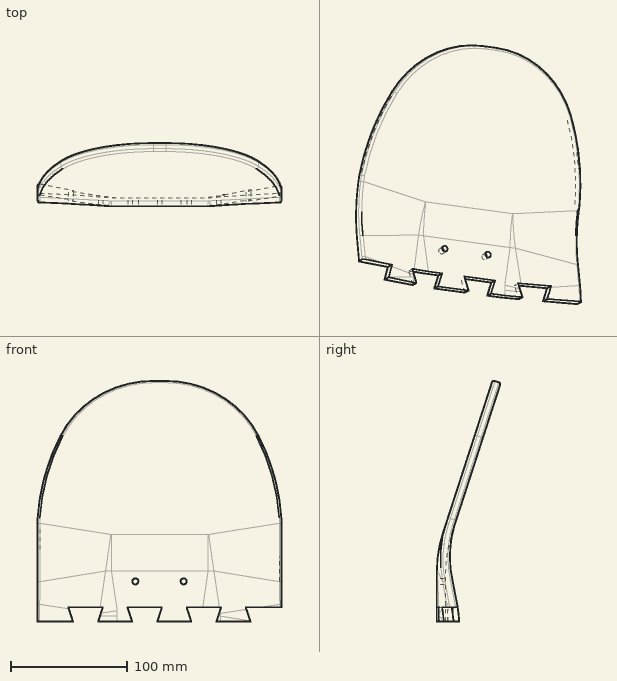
import math

import cadquery as cq

half_width = 104.775
plate_thickness = 7.5
lean = math.radians(18.0)
bend_radius = 101.6
settle_radius = 122.0
rim_radius = 2.0

middle_bend_z = 43.6
middle_flare_z = 9.5
crease_flare_z = 7.2
crease_settle_z = 4.85
edge_upper_bend_z = 84.9
edge_bend_z = 34.1
edge_flare_z = 15.2
edge_settle_z = -3.6
stock_z = -10.0

middle_top_x = 41.6
middle_bend_x = 41.5
middle_foot_x = 36.5
crease_top_x = 42.0
crease_bend_x = 46.5
crease_foot_x = 52.0

crease_bend_y = 0.35
crease_flare_y = 1.8
crease_foot_y = 1.9
edge_bend_y = 5.05
edge_flare_y = 8.7
edge_foot_y = 10.55

edge_bend_depth = 9.0
edge_flare_depth = 9.3
edge_foot_depth = 9.4

plate_length = 139.08
side_straight_length = 15.1
crown_flat_half = 5.3
crown_radius = 88.9
shoulder_radius = 190.5

hole_diameter = 5.0
hole_x = 20.74
hole_z = 34.5

tail_pitch = 50.8
tail_taper = 4.0
tail_depth = 12.15
first_slot_x = -63.5
closed_slot_count = 3

cut_reach = 50.0
tolerance = 0.01

middle_upper_bend_z = middle_bend_z + bend_radius * math.sin(lean)
middle_upper_bend_y = bend_radius * (1 - math.cos(lean))
edge_rise = edge_upper_bend_z - middle_upper_bend_z
edge_upper_bend_y = middle_upper_bend_y + edge_rise * math.tan(lean)
edge_slope_length = edge_rise / math.cos(lean)
plate_back = cq.Vector(0, math.cos(lean), -math.sin(lean))
slot_mouth_half = (tail_pitch / 2 - tail_taper) / 2
slot_root_half = (tail_pitch / 2 + tail_taper) / 2


def front_columns():
    """Front points of the six columns from left to right, each from upper bend to foot."""
    middle = [
        cq.Vector(middle_top_x, middle_upper_bend_y, middle_upper_bend_z),
        cq.Vector(middle_bend_x, 0, middle_bend_z),
        cq.Vector(middle_foot_x, 0, middle_flare_z),
        cq.Vector(middle_foot_x, 0, crease_settle_z),
        cq.Vector(middle_foot_x, 0, stock_z),
    ]
    crease = [
        cq.Vector(crease_top_x, middle_upper_bend_y, middle_upper_bend_z),
        cq.Vector(crease_bend_x, crease_bend_y, middle_bend_z),
        cq.Vector(crease_foot_x, crease_flare_y, crease_flare_z),
        cq.Vector(crease_foot_x, crease_foot_y, crease_settle_z),
        cq.Vector(crease_foot_x, crease_foot_y, stock_z),
    ]
    edge = [
        cq.Vector(half_width, edge_upper_bend_y, edge_upper_bend_z),
        cq.Vector(half_width, edge_bend_y, edge_bend_z),
        cq.Vector(half_width, edge_flare_y, edge_flare_z),
        cq.Vector(half_width, edge_foot_y, edge_settle_z),
        cq.Vector(half_width, edge_foot_y, stock_z),
    ]
    right = [middle, crease, edge]
    left = [[cq.Vector(-p.x, p.y, p.z) for p in column] for column in reversed(right)]
    return left + right


def back_column(front, depths):
    """Points behind a front column: square to the leaning plate at the top, straight back below."""
    lower_points = [point + cq.Vector(0, depth, 0) for point, depth in zip(front[1:], depths)]
    return [front[0] + plate_back * plate_thickness] + lower_points


def bow(start, end, radius):
    """Shallow arc between two points, bulging towards the front."""
    sagitta = bow_height((end - start).Length, radius)
    return cq.Edge.makeThreePointArc(start, (start + end) * 0.5 - cq.Vector(0, sagitta, 0), end)


def hollow(start, end, radius):
    """Shallow arc between two points, bulging towards the back."""
    sagitta = bow_height((end - start).Length, radius)
    return cq.Edge.makeThreePointArc(start, (start + end) * 0.5 + cq.Vector(0, sagitta, 0), end)


def bow_height(chord, radius):
    return radius - math.sqrt(radius**2 - (chord / 2) ** 2)


def column_edges(points, radius, is_side):
    """Edges down a column: the bend, the straight flank, the settling piece and the upright foot."""
    upper_bend, bend, flare, settle, foot = points
    if is_side:
        settling = hollow(flare, settle, settle_radius)
    else:
        settling = cq.Edge.makeLine(flare, settle)
    return [
        bow(upper_bend, bend, radius),
        cq.Edge.makeLine(bend, flare),
        settling,
        cq.Edge.makeLine(settle, foot),
    ]


def skin(columns):
    """Ruled faces between neighbouring columns of edges."""
    faces = []
    for left, right in zip(columns, columns[1:]):
        faces += [cq.Face.makeRuledSurface(a, b) for a, b in zip(left, right)]
    return faces


def end_strip(fronts, backs, row):
    """Flat faces joining front and back along one row of points."""
    faces = []
    for i in range(len(fronts) - 1):
        corners = [fronts[i][row], fronts[i + 1][row], backs[i + 1][row], backs[i][row]]
        faces.append(cq.Face.makeFromWires(cq.Wire.makePolygon(corners, close=True)))
    return faces


def make_lower_half():
    """Bent lower half: a middle panel with a swept-back wing on each side."""
    fronts = front_columns()
    sides = (0, len(fronts) - 1)
    plain_depths = [plate_thickness] * 4
    edge_depths = [edge_bend_depth, edge_flare_depth, edge_foot_depth, edge_foot_depth]
    backs = []
    front_edges = []
    back_edges = []
    for i, front in enumerate(fronts):
        is_side = i in sides
        back = back_column(front, edge_depths if is_side else plain_depths)
        backs.append(back)
        front_edges.append(column_edges(front, bend_radius, is_side))
        back_edges.append(column_edges(back, bend_radius - plate_thickness, is_side))

    faces = skin(front_edges) + skin(back_edges)
    faces += end_strip(fronts, backs, 0) + end_strip(fronts, backs, -1)
    for i in sides:
        closing = [cq.Edge.makeLine(fronts[i][row], backs[i][row]) for row in (0, -1)]
        border = cq.Wire.combine(front_edges[i] + back_edges[i] + closing)[0]
        faces.append(cq.Face.makeFromWires(border))
    return cq.Workplane(cq.Solid.makeSolid(cq.Shell.makeShell(faces)))


def make_upper_plate():
    """Leaning plate with a rounded crown, standing on the upper bend line."""
    crown_y = plate_length - crown_radius
    shoulder_x = half_width - shoulder_radius
    spacing = shoulder_radius - crown_radius
    shoulder_y = crown_y - math.sqrt(spacing**2 - (crown_flat_half - shoulder_x) ** 2)
    join_angle = math.atan2(crown_y - shoulder_y, crown_flat_half - shoulder_x)

    def on_crown(angle):
        return crown_flat_half + crown_radius * math.cos(angle), crown_y + crown_radius * math.sin(angle)

    def on_shoulder(angle):
        return shoulder_x + shoulder_radius * math.cos(angle), shoulder_y + shoulder_radius * math.sin(angle)

    slope = cq.Plane(
        origin=(0, middle_upper_bend_y, middle_upper_bend_z),
        xDir=(1, 0, 0),
        normal=-plate_back,
    )
    right_half = (
        cq.Workplane(slope)
        .lineTo(crease_top_x, 0)
        .lineTo(half_width, edge_slope_length)
        .lineTo(half_width, side_straight_length)
        .threePointArc(on_shoulder(join_angle / 2), on_crown(join_angle))
        .threePointArc(on_crown((join_angle + math.pi / 2) / 2), (crown_flat_half, plate_length))
        .lineTo(0, plate_length)
        .close()
        .extrude(-plate_thickness)
    )
    return right_half.union(right_half.mirror("YZ")).clean()


def round_rim(body):
    """Round the front and back edges all round the outline, but not the foot."""

    def is_outer(point):
        return abs(abs(point.x) - half_width) < tolerance or point.z > edge_upper_bend_z + tolerance

    def is_rim(edge):
        start = edge.startPoint()
        end = edge.endPoint()
        runs_through_plate = (end - start).cross(plate_back).Length < tolerance
        at_foot = max(start.z, end.z) < stock_z + tolerance
        return is_outer(start) and is_outer(end) and not runs_through_plate and not at_foot

    rim_edges = [edge for edge in body.edges().vals() if is_rim(edge)]
    return body.newObject(rim_edges).fillet(rim_radius)


def make_foot_trim():
    """Block that takes away everything below the foot."""
    side = 2 * (half_width + cut_reach)
    return cq.Workplane("XY").rect(side, side).extrude(stock_z - cut_reach)


def make_slots():
    """Dovetail slots open at the foot, the last one running out through the +X side."""
    slots = cq.Workplane("XZ")
    for i in range(closed_slot_count + 1):
        centre = first_slot_x + i * tail_pitch
        mouth_end = centre + slot_mouth_half
        root_end = centre + slot_root_half
        if i == closed_slot_count:
            mouth_end = half_width + cut_reach
            root_end = mouth_end
        slots = (
            slots.moveTo(centre - slot_mouth_half, 0)
            .lineTo(mouth_end, 0)
            .lineTo(root_end, tail_depth)
            .lineTo(centre - slot_root_half, tail_depth)
            .close()
        )
    return slots.extrude(cut_reach, both=True)


def make_holes():
    holes = cq.Workplane("XZ").pushPoints([(-hole_x, hole_z), (hole_x, hole_z)])
    return holes.circle(hole_diameter / 2).extrude(cut_reach, both=True)


body = make_lower_half().union(make_upper_plate())
body = round_rim(body)
result = body.cut(make_foot_trim()).cut(make_slots()).cut(make_holes())